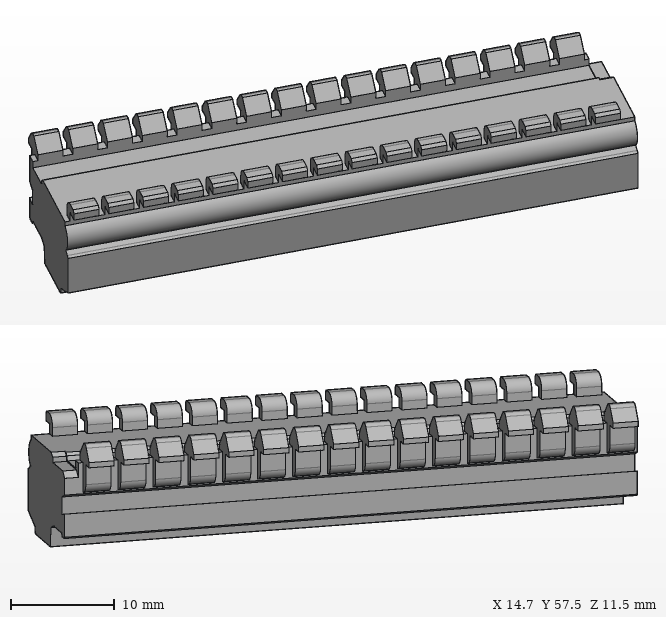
import cadquery as cq
import math


total_width = 14.7
total_length = 57.5
total_height = 11.5

body_left, body_right = 2.05, 14.5
deck_z = 9.5

rail_width = 1.05
groove_left = body_left + rail_width
groove_right = 5.8
groove_wall_top = 6.0
groove_z = 8.75
deck_chamfer = 0.3

side_slot_depth = 0.85
side_slot_bottom, side_slot_top = 4.25, 6.0
side_slot_bottom_slope = 0.25
side_slot_top_slope = 0.4

foot_z, foot_right = 2.0, 2.95
ledge_z = 2.35
foot_bevel = 0.2
ledge_right = 5.85
keel_left, keel_right = 6.9, 12.2
keel_shoulder_z = 1.95
keel_draft = 0.2
keel_chamfer = 0.2
keel_step_z = 0.7
right_wall_bottom, right_wall_top = 1.7, 5.85

lobe_left = 13.45
lobe_top = 9.0
lobe_outer_x, lobe_outer_z = 14.3, 7.65
lobe_bottom_x, lobe_bottom_z = 14.05, 6.65
wall_groove_x, wall_groove_z = 13.75, 6.3
wall_groove_lip_width, wall_groove_lip_height = 0.3, 0.145

notch_length = 1.4
notch_left = 2.7
notch_z = 8.6
notch_slope_bottom = 8.05
notch_step_x, notch_step_z = 6.1, 9.15
notch_right = 6.65

hook_count = 16
hook_width = 2.55
hook_row_pitch = 3.5
first_hook_gap = 1.85

arrow_right = 3.1
arrow_shoulder_left, arrow_shoulder_right = 10.0, 10.2
arrow_nose_x, arrow_nose_z = 0.9, 11.2
arrow_top_left, arrow_top_right = 1.45, 1.8
left_stem_x = 1.1
left_stem_bottom = 6.55
left_stem_radius = body_left - left_stem_x

right_stem_x = 12.4
right_hook_underside = 10.45
right_hook_radius = 1.15
right_hook_chamfer = 0.3


def corner_arc_point(center_x, center_z, radius, degrees):
    """Point on a circle, used as the middle of a quarter arc."""
    angle = math.radians(degrees)
    return center_x + radius * math.cos(angle), center_z + radius * math.sin(angle)


def extrude_along_y(profile, y_rear, length):
    """Extrude an XZ outline from y_rear towards -Y."""
    return profile.close().extrude(length).translate((0, y_rear, 0))


def make_body():
    slot_x = body_left + side_slot_depth
    profile = (
        cq.Workplane("XZ")
        .moveTo(body_left, deck_z)
        .lineTo(groove_left, deck_z)
        .lineTo(groove_left, groove_z)
        .lineTo(groove_right, groove_z)
        .lineTo(groove_wall_top, deck_z - deck_chamfer)
        .lineTo(groove_wall_top + deck_chamfer, deck_z)
        .lineTo(lobe_left, deck_z)
        .lineTo(lobe_left, lobe_top)
        .threePointArc((lobe_outer_x, lobe_outer_z), (lobe_bottom_x, lobe_bottom_z))
        .lineTo(wall_groove_x, wall_groove_z)
        .lineTo(body_right - wall_groove_lip_width, right_wall_top + wall_groove_lip_height)
        .lineTo(body_right, right_wall_top)
        .lineTo(body_right, right_wall_bottom)
        .lineTo(keel_right, keel_step_z)
        .lineTo(keel_right, keel_chamfer)
        .lineTo(keel_right - keel_chamfer, 0)
        .lineTo(keel_left, 0)
        .lineTo(keel_left - keel_draft, keel_shoulder_z)
        .lineTo(ledge_right, ledge_z)
        .lineTo(foot_right + foot_bevel, ledge_z)
        .lineTo(foot_right, foot_z)
        .lineTo(body_left + foot_bevel, foot_z)
        .lineTo(body_left, foot_z + foot_bevel)
        .lineTo(body_left, side_slot_bottom + side_slot_bottom_slope)
        .lineTo(slot_x, side_slot_bottom)
        .lineTo(slot_x, side_slot_top)
        .lineTo(body_left, side_slot_top + side_slot_top_slope)
    )
    return extrude_along_y(profile, 0, total_length)


def make_notch():
    profile = (
        cq.Workplane("XZ")
        .moveTo(body_left, notch_slope_bottom)
        .lineTo(notch_left, notch_z)
        .lineTo(notch_step_x, notch_z)
        .lineTo(notch_step_x, notch_step_z)
        .lineTo(notch_right, deck_z)
        .lineTo(body_left, deck_z)
    )
    return extrude_along_y(profile, 0, notch_length)


def make_left_hook(y_rear):
    """Arrow-headed hook whose stem curves into the left face of the body."""
    arc_z = left_stem_bottom + left_stem_radius
    profile = (
        cq.Workplane("XZ")
        .moveTo(0, deck_z)
        .lineTo(0, arrow_shoulder_left)
        .lineTo(arrow_nose_x, arrow_nose_z)
        .tangentArcPoint((arrow_top_left, total_height), relative=False)
        .lineTo(arrow_top_right, total_height)
        .lineTo(arrow_right, arrow_shoulder_right)
        .lineTo(arrow_right, deck_z)
        .lineTo(body_left, deck_z)
        .lineTo(body_left, left_stem_bottom)
        .threePointArc(
            corner_arc_point(body_left, arc_z, left_stem_radius, 225), (left_stem_x, arc_z)
        )
        .lineTo(left_stem_x, deck_z)
    )
    return extrude_along_y(profile, y_rear, hook_width)


def make_right_hook(y_rear):
    """Hook that rises from the deck and bends outwards to the right."""
    arc_x = right_stem_x + right_hook_radius
    arc_z = total_height - right_hook_radius
    profile = (
        cq.Workplane("XZ")
        .moveTo(right_stem_x, deck_z)
        .lineTo(right_stem_x, arc_z)
        .threePointArc(
            corner_arc_point(arc_x, arc_z, right_hook_radius, 135), (arc_x, total_height)
        )
        .lineTo(total_width - right_hook_chamfer, total_height)
        .lineTo(total_width, total_height - right_hook_chamfer)
        .lineTo(total_width, right_hook_underside)
        .lineTo(lobe_left, right_hook_underside)
        .lineTo(lobe_left, deck_z)
    )
    return extrude_along_y(profile, y_rear, hook_width)


result = make_body().cut(make_notch())
for index in range(hook_count):
    hook_rear = -first_hook_gap - index * hook_row_pitch
    result = result.union(make_left_hook(hook_rear))
    result = result.union(make_right_hook(hook_rear))